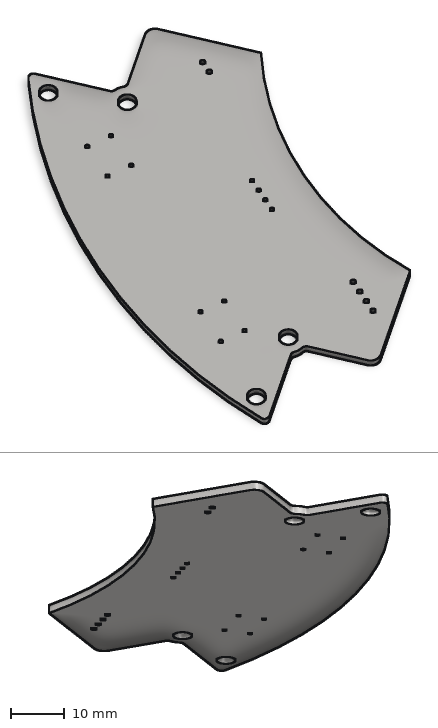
import cadquery as cq
import math

thickness = 1.6
plate_width = 89.8
plate_height = 50.2
outer_radius = 106.0
inner_arc_bottom = 43.5
arc_center_y = outer_radius
tip_half_width = 28.4

shoulder_x, shoulder_y = 43.8, 34.7
shoulder_radius = 2.0
corner_radius = 1.0

rounding_x = plate_width / 2 - corner_radius
rounding_y = arc_center_y - math.sqrt((outer_radius - corner_radius) ** 2 - rounding_x**2)

lower_side_sum = rounding_x + rounding_y + math.sqrt(2) * corner_radius
upper_side_difference = shoulder_x - shoulder_y
notch_x = (lower_side_sum + upper_side_difference) / 2
notch_y = (lower_side_sum - upper_side_difference) / 2

mount_diameter = 3.5
notch_hole = (30.6, 23.1)
corner_hole = (39.6, 11.3)
notch_land_radius = 3.6

pin_pitch = 2.5
header_diameter = 1.0
small_pin_diameter = 0.76
header_y = 39.7
right_header_x = 25.5
left_header_x = -31.8
middle_header_y = 34.6
switch_x = (17.7, 25.4)
switch_y = (11.7, 16.7)


def lower_corner():
    """Point where the 45 degree lower side meets the outer arc (+X side)."""
    offset = lower_side_sum - arc_center_y
    rise = (offset - math.sqrt(2 * outer_radius**2 - offset**2)) / 2
    return offset - rise, arc_center_y + rise


def make_plate():
    corner_x, corner_y = lower_corner()
    plate = (
        cq.Workplane("XY")
        .moveTo(-tip_half_width, plate_height)
        .threePointArc((0, inner_arc_bottom), (tip_half_width, plate_height))
        .lineTo(shoulder_x, shoulder_y)
        .lineTo(notch_x, notch_y)
        .lineTo(corner_x, corner_y)
        .threePointArc((0, 0), (-corner_x, corner_y))
        .lineTo(-notch_x, notch_y)
        .lineTo(-shoulder_x, shoulder_y)
        .close()
        .extrude(thickness)
    )
    plate = round_edges(plate, shoulder_x, shoulder_y, shoulder_radius)
    return round_edges(plate, corner_x, corner_y, corner_radius)


def round_edges(body, x, y, radius):
    """Round the vertical edges at (x, y) and its mirror image."""
    for side in (-1, 1):
        edge = cq.selectors.NearestToPointSelector((side * x, y, thickness / 2))
        body = body.edges("|Z").edges(edge).fillet(radius)
    return body


def land_crossing(side_direction):
    """Point where the land circle crosses the upper (1) or lower (-1) notch side."""
    dx = notch_x - notch_hole[0]
    dy = notch_y - notch_hole[1]
    along = (dx + side_direction * dy) / math.sqrt(2)
    gap = dx**2 + dy**2 - notch_land_radius**2
    reach = (-along + math.sqrt(along**2 - gap)) / math.sqrt(2)
    return notch_x + reach, notch_y + side_direction * reach


def add_notch_lands(plate):
    lands = (
        cq.Workplane("XY")
        .pushPoints(mirrored([notch_hole]))
        .circle(notch_land_radius)
        .extrude(thickness)
    )
    plate = plate.union(lands)
    for side_direction in (1, -1):
        plate = round_edges(plate, *land_crossing(side_direction), corner_radius)
    return plate


def mirrored(points):
    return [(side * x, y) for x, y in points for side in (-1, 1)]


def pin_row(first_x, y, count):
    return [(first_x + i * pin_pitch, y) for i in range(count)]


def drill(body, points, diameter):
    holes = cq.Workplane("XY").pushPoints(points).circle(diameter / 2).extrude(thickness)
    return body.cut(holes)


header_pins = pin_row(right_header_x, header_y, 4) + pin_row(left_header_x, header_y, 2)
middle_pins = pin_row(-1.5 * pin_pitch, middle_header_y, 4)
switch_pins = mirrored([(x, y) for x in switch_x for y in switch_y])

result = add_notch_lands(make_plate())
result = drill(result, mirrored([notch_hole, corner_hole]), mount_diameter)
result = drill(result, header_pins, header_diameter)
result = drill(result, middle_pins + switch_pins, small_pin_diameter)